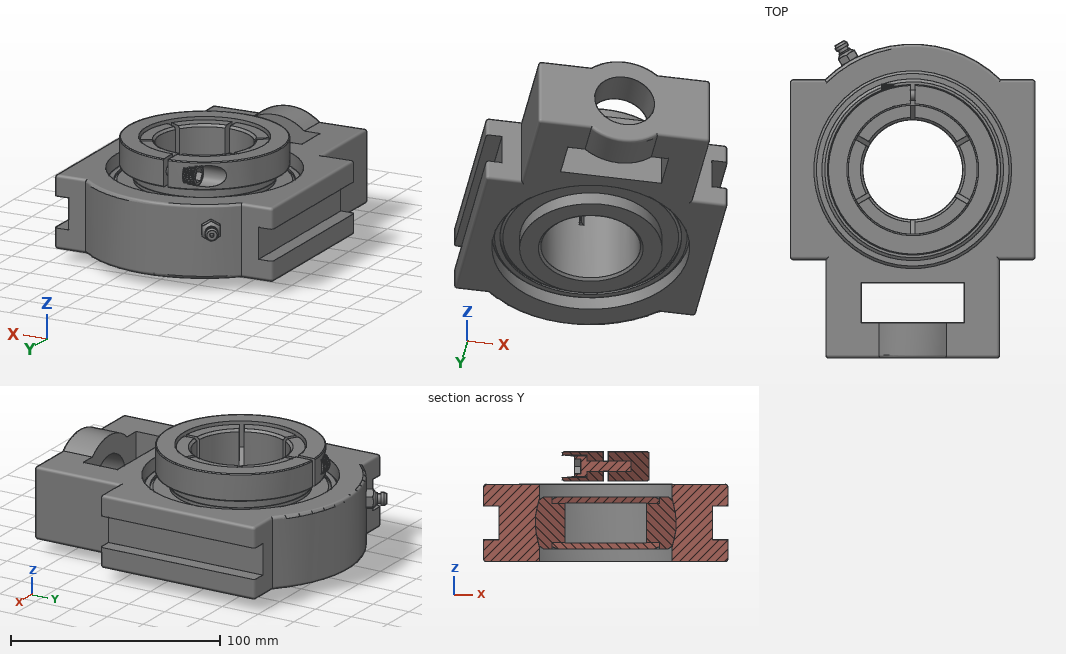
import cadquery as cq
import math

plate_half_width = 58.5
plate_half_length = 43.0
plate_thickness = 37.0
crown_radius = 60.0
tail_half_width = 41.5
tail_end_y = -90.0
edge_fillet = 1.5

nut_slot_width = 49.0
nut_slot_near_y = -54.0
nut_slot_far_y = -73.0
boss_radius = 24.5
screw_hole_diameter = 29.0

guide_groove_width = 16.0
guide_groove_depth = 7.5

seat_opening_diameter = 94.48
outer_ring_half_width = 12.5
outer_ring_bore_diameter = 80.0
outer_ring_chamfer = 1.24
seat_edge_z = outer_ring_half_width - outer_ring_chamfer
seat_radius = math.hypot(seat_opening_diameter / 2, seat_edge_z)

seal_diameter = 86.8
seal_face_diameter = 84.0
seal_thickness = 3.0
seal_groove_depth = 1.0

bore_diameter = 47.62
bore_chamfer = 1.2
inner_ring_bottom_z = -19.2
inner_ring_lower_diameter = 68.0
inner_ring_upper_diameter = 69.02
inner_ring_shoulder_z = 19.5
inner_ring_step_z = 14.4
hub_diameter = 61.6
hub_top_z = 32.6

slit_count = 6
slit_width = 2.3
slit_bottom_z = 14.0

collar_bottom_z = 20.0
collar_top_z = 34.1
collar_diameter = 81.5
collar_bore_diameter = 63.0
collar_chamfer = 0.5

clamp_y = 35.6
clamp_z = (collar_bottom_z + collar_top_z) / 2
clamp_head_diameter = 10.0
knurl_diameter = 10.6
knurl_teeth = 32
clamp_head_end_x = -15.0
clamp_head_length = 6.0
clamp_seat_x = clamp_head_end_x + clamp_head_length
clamp_shank_diameter = 4.92
clamp_shank_end_x = 12.0
clamp_socket_corners = 8.0
clamp_socket_depth = 3.0

fitting_angle = 120.0
fitting_z = 6.6
fitting_stem_diameter = 6.0
fitting_stem_length = 6.0
fitting_hex_flats = 8.8
fitting_hex_height = 3.5
fitting_hex_chamfer_height = 0.4
fitting_cone_end = 4.7
fitting_collar_diameter = 6.0
fitting_collar_end = 5.4
fitting_neck_diameter = 4.92
fitting_head_diameter = 6.4
fitting_head_start = 7.0
fitting_head_end = 8.5
fitting_tip_diameter = 4.92
fitting_length = 9.8
fitting_hole_diameter = 1.98
fitting_hole_depth = 2.0


def cylinder(diameter, bottom_z, top_z):
    """Solid cylinder about Z."""
    return cq.Workplane("XY").workplane(offset=bottom_z).circle(diameter / 2).extrude(top_z - bottom_z)


def cylinder_along_y(diameter, start_y, end_y):
    """Solid cylinder about Y."""
    return cq.Workplane("XZ").workplane(offset=-end_y).circle(diameter / 2).extrude(end_y - start_y)


def cylinder_along_x(diameter, start_x, end_x):
    """Solid cylinder about the clamping screw axis."""
    plane = cq.Workplane("YZ", origin=(start_x, clamp_y, clamp_z))
    return plane.circle(diameter / 2).extrude(end_x - start_x)


def is_rounded(edge):
    """True for the housing edges that carry the fillet."""
    box = edge.BoundingBox()
    middle = edge.Center()
    tolerance = 0.01
    on_end = box.ymax < tail_end_y + tolerance
    if on_end:
        return True
    flat = box.zlen < tolerance
    if flat and abs(abs(middle.z) - plate_thickness / 2) < tolerance:
        boss_side = box.xlen < tolerance and abs(middle.x) < boss_radius
        boss_back = middle.y < nut_slot_near_y and box.ylen < tolerance
        return not boss_side and not boss_back
    return box.zlen > plate_thickness - tolerance and abs(abs(middle.x) - plate_half_width) < tolerance


def make_housing():
    crown_x = math.sqrt(crown_radius**2 - plate_half_length**2)
    body = (
        cq.Workplane("XY")
        .workplane(offset=-plate_thickness / 2)
        .moveTo(crown_x, plate_half_length)
        .threePointArc((0, crown_radius), (-crown_x, plate_half_length))
        .lineTo(-plate_half_width, plate_half_length)
        .lineTo(-plate_half_width, -plate_half_length)
        .lineTo(-tail_half_width, -plate_half_length)
        .lineTo(-tail_half_width, tail_end_y)
        .lineTo(tail_half_width, tail_end_y)
        .lineTo(tail_half_width, -plate_half_length)
        .lineTo(plate_half_width, -plate_half_length)
        .lineTo(plate_half_width, plate_half_length)
        .close()
        .extrude(plate_thickness)
    )
    body = body.union(cylinder_along_y(2 * boss_radius, tail_end_y, nut_slot_far_y))
    rounded_edges = [edge for edge in body.edges().vals() if is_rounded(edge)]
    body = body.newObject(rounded_edges).fillet(edge_fillet)

    nut_slot_length = nut_slot_near_y - nut_slot_far_y
    nut_slot_middle = (nut_slot_near_y + nut_slot_far_y) / 2
    nut_slot = cq.Workplane("XY").box(nut_slot_width, nut_slot_length, 2 * boss_radius)
    body = body.cut(nut_slot.translate((0, nut_slot_middle, 0)))
    body = body.cut(cylinder_along_y(screw_hole_diameter, tail_end_y, nut_slot_middle))
    for side in (-1, 1):
        groove = cq.Workplane("XY").box(2 * guide_groove_depth, 2 * plate_half_length, guide_groove_width)
        body = body.cut(groove.translate((side * plate_half_width, 0, 0)))

    body = body.cut(cylinder(seat_opening_diameter, -plate_thickness / 2, plate_thickness / 2))
    body = body.cut(cq.Workplane("XY").sphere(seat_radius))
    return body.cut(fitting_frame().circle(fitting_stem_diameter / 2).extrude(-fitting_stem_length))


def make_outer_ring():
    w = outer_ring_half_width
    ring = cylinder(seat_opening_diameter, -w, w).faces("<Z or >Z").edges().chamfer(outer_ring_chamfer)
    slab = cylinder(2 * seat_radius, -seat_edge_z, seat_edge_z)
    ring = ring.union(slab.intersect(cq.Workplane("XY").sphere(seat_radius)))
    ring = ring.cut(cylinder(outer_ring_bore_diameter, -w, w))
    recess = w - seal_thickness
    ring = ring.cut(cylinder(seal_diameter, recess, w))
    return ring.cut(cylinder(seal_diameter, -w, -recess))


def make_seal(side):
    """Seal at one face of the bearing: side is 1 at the top and -1 at the bottom."""
    inner_radius = inner_ring_lower_diameter / 2
    face_z = side * outer_ring_half_width
    rim_z = side * (outer_ring_half_width - seal_groove_depth)
    back_z = side * (outer_ring_half_width - seal_thickness)
    return (
        cq.Workplane("XZ")
        .moveTo(inner_radius, back_z)
        .lineTo(seal_diameter / 2, back_z)
        .lineTo(seal_diameter / 2, rim_z)
        .lineTo(seal_face_diameter / 2, face_z)
        .lineTo(inner_radius, face_z)
        .close()
        .revolve()
    )


def make_inner_ring():
    ring = cylinder(inner_ring_lower_diameter, inner_ring_bottom_z, inner_ring_step_z)
    ring = ring.union(cylinder(inner_ring_upper_diameter, inner_ring_step_z, inner_ring_shoulder_z))
    ring = ring.union(cylinder(hub_diameter, inner_ring_shoulder_z, hub_top_z))
    ring = ring.cut(cylinder(bore_diameter, inner_ring_bottom_z, hub_top_z))
    end_circles = ring.faces("<Z or >Z").edges("%CIRCLE")
    ring = end_circles.edges(cq.selectors.RadiusNthSelector(0)).chamfer(bore_chamfer)

    bore_radius = bore_diameter / 2
    reach = collar_diameter / 2
    slit = (
        cq.Workplane("XZ")
        .moveTo(0, slit_bottom_z - bore_radius)
        .lineTo(reach, slit_bottom_z - bore_radius + reach)
        .lineTo(reach, collar_top_z)
        .lineTo(0, collar_top_z)
        .close()
        .extrude(slit_width / 2, both=True)
    )
    for index in range(slit_count):
        ring = ring.cut(slit.rotate((0, 0, 0), (0, 0, 1), 90 + index * 360 / slit_count))
    return ring


def make_collar():
    height = collar_top_z - collar_bottom_z
    collar = cylinder(collar_diameter, collar_bottom_z, collar_top_z)
    collar = collar.faces("<Z or >Z").edges().chamfer(collar_chamfer)
    collar = collar.cut(cylinder(collar_bore_diameter, collar_bottom_z, collar_top_z))
    slit = cq.Workplane("XY").box(slit_width, collar_diameter, height)
    collar = collar.cut(slit.translate((0, collar_diameter / 2, clamp_z)))
    collar = collar.cut(cylinder_along_x(clamp_shank_diameter, clamp_seat_x, clamp_shank_end_x))
    return collar.cut(cylinder_along_x(knurl_diameter, -collar_diameter / 2, clamp_seat_x))


def make_clamp_screw():
    outline = []
    for index in range(2 * knurl_teeth):
        radius = (clamp_head_diameter if index % 2 else knurl_diameter) / 2
        angle = math.pi * index / knurl_teeth
        outline.append((radius * math.cos(angle), radius * math.sin(angle)))
    head_plane = cq.Workplane("YZ", origin=(clamp_head_end_x, clamp_y, clamp_z))
    screw = head_plane.polyline(outline).close().extrude(clamp_head_length)
    screw = screw.union(cylinder_along_x(clamp_shank_diameter, clamp_seat_x, clamp_shank_end_x))
    socket = head_plane.polygon(6, clamp_socket_corners).extrude(clamp_socket_depth)
    return screw.cut(socket)


def fitting_frame():
    """Workplane on the crown with its normal along the grease fitting and its local X along Z."""
    angle = math.radians(fitting_angle)
    outward = cq.Vector(math.cos(angle), math.sin(angle), 0)
    origin = outward * crown_radius + cq.Vector(0, 0, fitting_z)
    return cq.Workplane(cq.Plane(origin=origin, xDir=(0, 0, 1), normal=outward))


def fitting_cylinder(diameter, start, end):
    """Cylinder about the grease fitting axis between two distances from the crown."""
    return fitting_frame().workplane(offset=start).circle(diameter / 2).extrude(end - start)


def fitting_cone(start_diameter, end_diameter, start, end):
    """Cone frustum about the grease fitting axis between two distances from the crown."""
    base = fitting_frame().workplane(offset=start).circle(start_diameter / 2)
    return base.workplane(offset=end - start).circle(end_diameter / 2).loft()


def make_fitting():
    hex_corners = fitting_hex_flats / math.cos(math.pi / 6)
    hex_shoulder = fitting_hex_height - fitting_hex_chamfer_height
    hexagon = fitting_frame().polygon(6, hex_corners).extrude(fitting_hex_height)
    envelope = fitting_cylinder(hex_corners, 0, hex_shoulder)
    envelope = envelope.union(fitting_cone(hex_corners, fitting_hex_flats, hex_shoulder, fitting_hex_height))

    fitting = hexagon.intersect(envelope)
    fitting = fitting.union(fitting_cylinder(fitting_stem_diameter, -fitting_stem_length, 0))
    fitting = fitting.union(
        fitting_cone(fitting_hex_flats, fitting_collar_diameter, fitting_hex_height, fitting_cone_end)
    )
    fitting = fitting.union(fitting_cylinder(fitting_collar_diameter, fitting_cone_end, fitting_collar_end))
    fitting = fitting.union(fitting_cylinder(fitting_neck_diameter, fitting_collar_end, fitting_head_start))
    fitting = fitting.union(fitting_cylinder(fitting_head_diameter, fitting_head_start, fitting_head_end))
    fitting = fitting.union(
        fitting_cone(fitting_head_diameter, fitting_tip_diameter, fitting_head_end, fitting_length)
    )
    hole_bottom = fitting_length - fitting_hole_depth
    return fitting.cut(fitting_cylinder(fitting_hole_diameter, hole_bottom, fitting_length))


housing = make_housing()
outer_ring = make_outer_ring()
inner_ring = make_inner_ring()
seals = [make_seal(side) for side in (-1, 1)]
collar = make_collar()
clamp_screw = make_clamp_screw()
fitting = make_fitting()

result = cq.Compound.makeCompound(
    [
        housing.val(),
        outer_ring.val(),
        inner_ring.val(),
        *[seal.val() for seal in seals],
        collar.val(),
        clamp_screw.val(),
        fitting.val(),
    ]
)